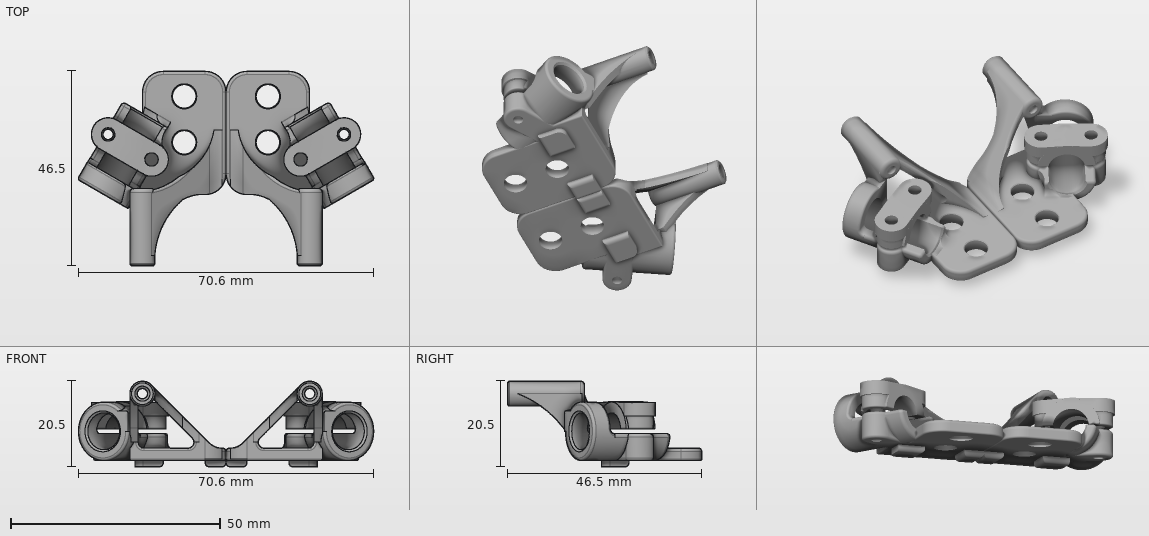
import cadquery as cq
import math


plate_width = 20.0
plate_length = 29.5
plate_thickness = 3.0
plate_corner_radius = 5.0
plate_top_fillet = 0.8
plate_bottom_fillet = 0.4
plate_hole_diameter = 5.6
plate_hole_chamfer = 0.2
plate_hole_x = -plate_width / 2
plate_hole_y = -17.0
plate_hole_pitch = 11.0

clamp_x = -23.0
clamp_y = -18.1
clamp_angle = -30.0
clamp_radius = 7.0
clamp_bore_diameter = 8.8
clamp_bore_chamfer = 0.5
clamp_axis_z = clamp_radius
clamp_gap = 1.0
clamp_gap_fillet = 1.2
ring_front = -12.97
ring_back = -8.2
ring_back_fillet = 0.5
ring_fillet = 0.65
trough_back = 8.5
trough_back_fillet = 0.8
trough_lip_fillet = 0.8
trough_root_radius = 1.5
trough_root_left = -1.5
trough_root_right = 5.5
ear_left = 2.0
ear_right = 7.0
ear_front_height = 11.9
ear_back_height = 13.0

screw_half_pitch = 6.0
screw_hole_diameter = 3.2
thread_hole_diameter = 2.4
lug_radius = 3.5
lug_fillet = 0.6
cap_edge_fillet = 0.3
bar_radius = 4.0
bar_bottom_z = clamp_axis_z + math.sqrt(clamp_radius**2 - screw_half_pitch**2)
bar_top_z = 13.9
bar_crown_height = 0.25
bar_crown_half_width = 4.0
cap_length = 2 * bar_radius

rod_diameter = 6.0
rod_bore_diameter = 2.4
rod_bore_mouth_diameter = 3.6
rod_x = -20.0
rod_z = 16.0
rod_front_y = -46.5
rod_back_y = -28.0
rod_front_chamfer = 0.4
rod_back_fillet = 1.0

strut_thickness = 2.1
strut_foot_radius = 4.2
wall_thickness = 2.0
window_fillet = 1.4
arm_edge_fillet = 0.6
arm_back_y = -14.1
head_clearance_radius = 5.3

foot_height = 1.5
foot_front_y = -24.0
foot_back_y = -17.4
foot_fillet = 1.0
foot_corner_radius = 2.0
outer_foot_left_x = -21.8
outer_foot_right_x = -15.0
inner_foot_width = 5.0

rod_radius = rod_diameter / 2
bore_radius = clamp_bore_diameter / 2
lower_split_z = clamp_axis_z - clamp_gap / 2
upper_split_z = clamp_axis_z + clamp_gap / 2
wall_left_x = rod_x - rod_radius
wall_right_x = wall_left_x + wall_thickness
sin45 = math.sin(math.radians(45))
strut_top_sum = rod_x + rod_z + rod_radius / sin45


def place_clamp(shape):
    """Move a shape from the clamp frame to its place on the plate."""
    return shape.rotate((0, 0, 0), (0, 0, 1), clamp_angle).translate((clamp_x, clamp_y, 0))


def block(x_range, y_range, z_range):
    """Axis-aligned block between pairs of coordinates."""
    size = [high - low for low, high in (x_range, y_range, z_range)]
    corner = [low for low, high in (x_range, y_range, z_range)]
    return cq.Workplane("XY").box(*size, centered=False).translate(tuple(corner))


def cylinder_y(radius, y_range, x=0.0, z=0.0):
    """Cylinder along Y between two Y coordinates."""
    start, end = y_range
    plane = cq.Workplane("XZ", origin=(x, start, z))
    return plane.circle(radius).extrude(start - end)


def slot(radius, z_range):
    """Upright stadium whose ends are centred on the two clamp screws."""
    low, high = z_range
    plane = cq.Workplane("XY").workplane(offset=low)
    return plane.slot2D(2 * (screw_half_pitch + radius), 2 * radius).extrude(high - low)


def screw_hole(side, diameter, z_range):
    """Hole for one clamp screw; side is -1 for the outer screw, +1 for the inner one."""
    low, high = z_range
    plane = cq.Workplane("XY").workplane(offset=low).center(side * screw_half_pitch, 0)
    return plane.circle(diameter / 2).extrude(high - low)


def plate():
    """Rounded plate with a square front corner under the arm's wall."""
    body = block((-plate_width, 0), (-plate_length, 0), (0, plate_thickness))
    body = body.edges("|Z").fillet(plate_corner_radius)
    body = body.faces(">Z").edges().fillet(plate_top_fillet)
    body = body.union(
        block((wall_left_x, plate_hole_x), (-plate_length, foot_back_y), (0, plate_thickness))
    )
    return body.faces("<Z").edges().fillet(plate_bottom_fillet)


def cut_plate_holes(body):
    """Two through holes, chamfered at the top."""
    radius = plate_hole_diameter / 2
    for row in range(2):
        centre = (plate_hole_x, plate_hole_y + row * plate_hole_pitch, 0)
        hole = cq.Workplane("XY", origin=centre).circle(radius).extrude(plate_thickness)
        mouth = hole.faces(">Z").workplane().circle(radius + plate_hole_chamfer)
        mouth = mouth.workplane(offset=-plate_hole_chamfer).circle(radius).loft(combine=False)
        body = body.cut(hole).cut(mouth)
    return body


def clamp_ring():
    """Closed front ring, with a round at its back that runs into the floor of the clamp gap."""
    ring_end = ring_back + clamp_gap_fillet
    reach = 2 * clamp_radius
    ring = cylinder_y(clamp_radius, (ring_front, ring_end), z=clamp_axis_z)
    ring = ring.faces("<Y").edges().fillet(ring_fillet)
    opening = block((-reach, reach), (ring_back, reach), (lower_split_z, 2 * reach))
    ring = ring.cut(opening.edges("<Y and <Z").fillet(clamp_gap_fillet))
    above_axis = cq.selectors.BoxSelector(
        (-reach, ring_back - ring_back_fillet / 2, clamp_axis_z + clamp_gap_fillet),
        (reach, ring_back + ring_back_fillet / 2, 2 * reach),
    )
    return ring.edges(above_axis).fillet(ring_back_fillet)


def clamp_trough():
    """Open lower half behind the ring, with two screw lugs and rounded lips."""
    trough = cylinder_y(clamp_radius, (ring_back - trough_lip_fillet, trough_back), z=clamp_axis_z)
    trough = trough.faces(">Y").edges().fillet(trough_back_fillet)
    lugs = slot(lug_radius, (0, clamp_radius))
    lugs = lugs.faces("<Z").edges().fillet(lug_fillet)
    reach = 2 * clamp_radius
    trough = trough.union(lugs)
    trough = trough.cut(block((-reach, reach), (-reach, reach), (lower_split_z, reach)))
    return trough.faces(">Z").edges().fillet(trough_lip_fillet)


def trough_root():
    """Concave fillet between the back of the trough and the plate."""
    top = plate_thickness + trough_root_radius
    end = trough_back + trough_root_radius
    slack = trough_root_radius * (1 - sin45)
    return (
        cq.Workplane("YZ", origin=(trough_root_left, 0, 0))
        .moveTo(0, plate_thickness)
        .lineTo(0, top)
        .lineTo(trough_back, top)
        .threePointArc((trough_back + slack, plate_thickness + slack), (end, plate_thickness))
        .close()
        .extrude(trough_root_right - trough_root_left)
    )


def ring_ear():
    """Block with a sloping top that joins the front ring to the wall under the rod."""
    return (
        cq.Workplane("YZ", origin=(ear_left, 0, 0))
        .moveTo(ring_front, clamp_axis_z)
        .lineTo(ring_front, ear_front_height)
        .lineTo(ring_back, ear_back_height)
        .lineTo(ring_back, clamp_axis_z)
        .close()
        .extrude(ear_right - ear_left)
        .faces(">X")
        .edges(">Z")
        .fillet(ring_fillet)
    )


def bore_mouth(y, inward):
    """Cone that chamfers the clamp bore at one end; inward is the direction into the bore."""
    mouth = cq.Workplane("XZ", origin=(0, y, clamp_axis_z))
    mouth = mouth.circle(bore_radius + clamp_bore_chamfer)
    return mouth.workplane(offset=-inward * clamp_bore_chamfer).circle(bore_radius).loft()


def clamp_cutter():
    """Bore through ring and trough with chamfered ends, and the two screw holes."""
    cutter = cylinder_y(bore_radius, (ring_front, trough_back + trough_root_radius), z=clamp_axis_z)
    cutter = cutter.union(bore_mouth(ring_front, 1)).union(bore_mouth(trough_back, -1))
    cutter = cutter.union(screw_hole(-1, thread_hole_diameter, (0, lower_split_z)))
    return cutter.union(screw_hole(1, screw_hole_diameter, (0, lower_split_z)))


def head_clearance():
    """Space above the plate for the head of a screw in the front plate hole."""
    centre = (plate_hole_x, plate_hole_y, plate_thickness)
    return cq.Workplane("XY", origin=centre).circle(head_clearance_radius).extrude(clamp_radius)


def make_clamp():
    """Ring, ear and trough in place on the plate, before boring."""
    body = clamp_trough().union(trough_root())
    body = place_clamp(body).cut(head_clearance())
    return body.union(place_clamp(clamp_ring().union(ring_ear())))


def rod():
    """Round rod, chamfered at the front and rounded at the back."""
    body = cylinder_y(rod_radius, (rod_front_y, rod_back_y), rod_x, rod_z)
    body = body.faces("<Y").edges().chamfer(rod_front_chamfer)
    return body.faces(">Y").edges().fillet(rod_back_fillet)


def rod_bore():
    """Through bore with a conical mouth at the front end."""
    radius = rod_bore_diameter / 2
    mouth_radius = rod_bore_mouth_diameter / 2
    bore = cylinder_y(radius, (rod_front_y, 0), rod_x, rod_z)
    mouth = cq.Workplane("XZ", origin=(rod_x, rod_front_y, rod_z)).circle(mouth_radius)
    mouth = mouth.workplane(offset=radius - mouth_radius).circle(radius).loft()
    return bore.union(mouth)


def arm_profile():
    """Front outline of wall and strut, extruded along the whole arm, with its window."""
    foot_z = plate_thickness + strut_foot_radius
    foot_x = strut_top_sum - foot_z + strut_foot_radius / sin45
    sin22 = math.sin(math.radians(22.5))
    cos22 = math.cos(math.radians(22.5))
    outline = (
        cq.Workplane("XZ", origin=(0, arm_back_y, 0))
        .moveTo(wall_left_x, plate_bottom_fillet)
        .lineTo(wall_left_x, rod_z)
        .lineTo(rod_x, rod_z)
        .lineTo(rod_x + rod_radius * sin45, rod_z + rod_radius * sin45)
        .lineTo(foot_x - strut_foot_radius * sin45, foot_z - strut_foot_radius * sin45)
        .threePointArc(
            (foot_x - strut_foot_radius * sin22, foot_z - strut_foot_radius * cos22),
            (foot_x, plate_thickness),
        )
        .lineTo(foot_x, plate_bottom_fillet)
        .close()
        .extrude(arm_back_y - rod_front_y)
    )
    window_sum = strut_top_sum - strut_thickness / sin45
    window = (
        cq.Workplane("XZ", origin=(0, arm_back_y, 0))
        .moveTo(wall_right_x, plate_thickness)
        .lineTo(window_sum - plate_thickness, plate_thickness)
        .lineTo(wall_right_x, window_sum - wall_right_x)
        .close()
        .extrude(arm_back_y - rod_front_y)
        .edges("|Y")
        .fillet(window_fillet)
    )
    return outline.cut(window)


def arm_plan():
    """Plan outline of the arm: concave front edge, rear edge swept around the plate hole."""
    return (
        cq.Workplane("XY")
        .moveTo(wall_left_x, -28.6)
        .lineTo(-18.6, -28.6)
        .threePointArc((-15.2, -27.6), (-11.3, -25.2))
        .threePointArc((-5.7, -20.7), (-2.9, arm_back_y))
        .lineTo(0, arm_back_y)
        .lineTo(0, -plate_length + plate_corner_radius)
        .threePointArc((-1.464, -28.036), (-plate_corner_radius, -plate_length))
        .lineTo(-6.5, -plate_length)
        .threePointArc((-8.5, -29.9), (-10.4, -30.7))
        .threePointArc((-14.2, -35.2), (-17, -44))
        .lineTo(wall_left_x, -44)
        .close()
        .extrude(rod_z + rod_radius)
    )


def wall_front_cutter():
    """Removes the wall below the rod in front of a concave curve."""
    return (
        cq.Workplane("YZ", origin=(wall_left_x, 0, 0))
        .moveTo(-44, rod_z)
        .threePointArc((-37.5, 12.3), (-33.1, 7.8))
        .lineTo(-plate_length, plate_thickness)
        .lineTo(-44, plate_thickness)
        .close()
        .extrude(wall_thickness)
    )


def plate_front_cutter():
    """Keeps the foot of the arm within the plate's front edge."""
    return block((wall_left_x, 0), (rod_front_y, -plate_length), (0, plate_thickness + window_fillet))


def arm():
    """Wall and strut between the plate and the rod."""
    return arm_profile().intersect(arm_plan()).cut(wall_front_cutter()).cut(plate_front_cutter())


def round_arm_edges(body):
    """Rounds the sill of the window and the rear edge of the strut's sloping top."""
    sill = ((wall_right_x + plate_hole_x) / 2, -plate_length, plate_thickness)
    crest = (-15.2, -27.6, strut_top_sum + 15.2)
    for point in (sill, crest):
        edge = cq.selectors.NearestToPointSelector(point)
        body = body.edges(edge).fillet(arm_edge_fillet)
    return body


def feet():
    """Outer and inner foot under the plate, rounded along their lower edges."""
    depth = (-foot_height, 0)
    outer = block((outer_foot_left_x, outer_foot_right_x), (foot_front_y, foot_back_y), depth)
    outer = outer.edges("|Z and <X and <Y").fillet(foot_corner_radius)
    outer = outer.faces("<Z").edges(">X or >Y").fillet(foot_fillet)
    inner = block((-inner_foot_width, 0), (foot_front_y, foot_back_y), depth)
    inner = inner.faces("<Z").edges("<X or >X or >Y").fillet(foot_fillet)
    return outer.union(inner)


def make_base():
    """Plate, arm, clamp, rod and feet as one solid."""
    body = round_arm_edges(plate().union(arm()))
    body = body.union(make_clamp())
    body = body.cut(place_clamp(clamp_cutter()))
    body = body.union(rod()).cut(rod_bore())
    body = cut_plate_holes(body)
    return body.union(feet())


def make_cap():
    """Upper clamp half: a half shell with a lug on each side."""
    ends = (-cap_length / 2, cap_length / 2)
    shell = cylinder_y(clamp_radius, ends, z=clamp_axis_z)
    lugs = slot(lug_radius, (upper_split_z, bar_bottom_z))
    body = shell.union(lugs)
    reach = 2 * clamp_radius
    body = body.cut(block((-reach, reach), (-reach, reach), (-reach, upper_split_z)))
    body = body.faces("<Z").edges().fillet(cap_edge_fillet)
    body = body.cut(cylinder_y(bore_radius, ends, z=clamp_axis_z))
    for side in (-1, 1):
        body = body.cut(screw_hole(side, screw_hole_diameter, (0, bar_top_z)))
    return place_clamp(body)


def make_bar():
    """Slot-ended bar that saddles the cap, with a slight crown over the cap's crest."""
    half_length = screw_half_pitch + bar_radius
    crown = [
        (bar_crown_half_width, bar_top_z),
        (0, bar_top_z + bar_crown_height),
        (-bar_crown_half_width, bar_top_z),
        (-half_length, bar_top_z),
    ]
    profile = (
        cq.Workplane("XZ", origin=(0, bar_radius, 0))
        .moveTo(-half_length, bar_bottom_z)
        .lineTo(half_length, bar_bottom_z)
        .lineTo(half_length, bar_top_z)
        .spline(crown, tangents=[(-1, 0), (-1, 0)], includeCurrent=True)
        .close()
        .extrude(2 * bar_radius)
    )
    body = profile.intersect(slot(bar_radius, (bar_bottom_z, bar_top_z + bar_radius)))
    body = body.cut(cylinder_y(clamp_radius, (-bar_radius, bar_radius), z=clamp_axis_z))
    for side in (-1, 1):
        body = body.cut(screw_hole(side, screw_hole_diameter, (0, 2 * bar_top_z)))
    return place_clamp(body)


bodies = []
for left_body in (make_base(), make_cap(), make_bar()):
    bodies.append(left_body.val())
    bodies.append(left_body.mirror("YZ").val())

result = cq.Compound.makeCompound(bodies)